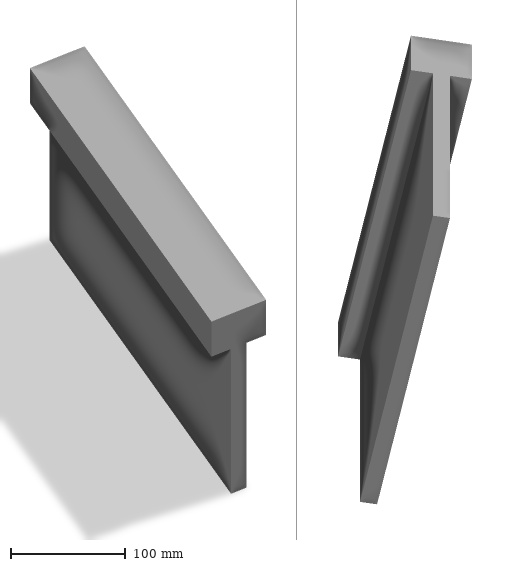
import cadquery as cq

length = 336.0
total_height = 236.0

head_depth = 54.0
head_height = 46.0

panel_thickness = 15.0
panel_height = total_height - head_height

panel = cq.Workplane("XY").box(length, panel_thickness, panel_height, centered=(True, True, False))
head = (
    cq.Workplane("XY")
    .workplane(offset=panel_height)
    .box(length, head_depth, head_height, centered=(True, True, False))
)

result = panel.union(head)